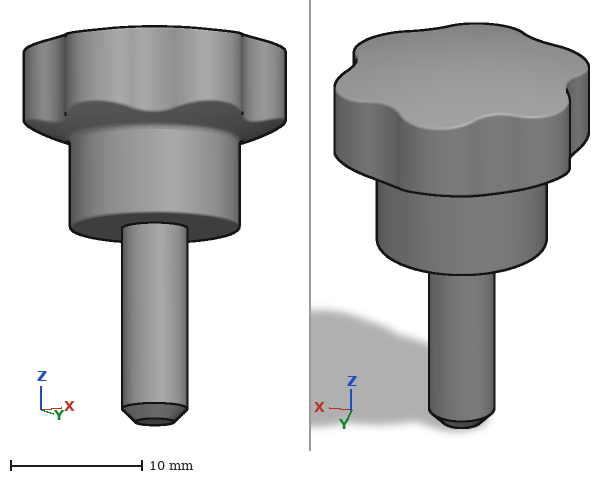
import cadquery as cq
import math

total_height = 30.0
collar_bottom = 15.0

lobe_count = 6
head_diameter = 20.0
lobe_radius = 3.5
valley_radius = lobe_radius
dome_drop = 1.2
underside_rim_height = 23.28
underside_neck_height = 21.9
underside_radius = 18.0
rim_fillet = 0.25
blank_margin = 0.3

collar_diameter = 13.0
neck_fillet = 0.5
collar_fillet = 0.2

stud_diameter = 5.0
stud_tip_chamfer = 1.02

head_radius = head_diameter / 2
collar_radius = collar_diameter / 2
lobe_center_radius = head_radius - lobe_radius
half_pitch = math.pi / lobe_count
valley_center_radius = lobe_center_radius * math.cos(half_pitch) + math.sqrt(
    (lobe_radius + valley_radius) ** 2 - (lobe_center_radius * math.sin(half_pitch)) ** 2
)


def polar(radius, angle):
    return (radius * math.cos(angle), radius * math.sin(angle))


def tangent_point(lobe_angle, valley_angle):
    """Tangent point between a lobe circle and a neighbouring valley circle."""
    lobe = cq.Vector(*polar(lobe_center_radius, lobe_angle))
    valley = cq.Vector(*polar(valley_center_radius, valley_angle))
    return (lobe + (valley - lobe) * (lobe_radius / (lobe_radius + valley_radius))).toTuple()[:2]


def lobed_prism():
    """Full-height prism with alternating lobe and valley arcs; one lobe points along +Y."""
    first_lobe = math.pi / 2
    outline = cq.Workplane("XY").moveTo(*tangent_point(first_lobe, first_lobe - half_pitch))
    for index in range(lobe_count):
        lobe_angle = first_lobe + 2 * half_pitch * index
        valley_angle = lobe_angle + half_pitch
        next_lobe_angle = valley_angle + half_pitch
        outline = outline.threePointArc(
            polar(head_radius, lobe_angle), tangent_point(lobe_angle, valley_angle)
        ).threePointArc(
            polar(valley_center_radius - valley_radius, valley_angle),
            tangent_point(next_lobe_angle, valley_angle),
        )
    return outline.close().extrude(total_height)


def domed_blank():
    """Turned blank with a domed top and a bowed underside, wider than the lobes."""
    dome_radius = (head_radius**2 + dome_drop**2) / (2 * dome_drop)
    blank_radius = head_radius + blank_margin

    def dome_height(radius):
        return total_height - dome_radius + math.sqrt(dome_radius**2 - radius**2)

    chord_r = head_radius - collar_radius
    chord_z = underside_rim_height - underside_neck_height
    chord = math.hypot(chord_r, chord_z)
    rise = math.sqrt(underside_radius**2 - (chord / 2) ** 2)
    center_r = (head_radius + collar_radius) / 2 - rise * chord_z / chord
    center_z = (underside_rim_height + underside_neck_height) / 2 + rise * chord_r / chord

    def underside_point(radius):
        return (radius, center_z - math.sqrt(underside_radius**2 - (radius - center_r) ** 2))

    return (
        cq.Workplane("XZ")
        .moveTo(0, underside_neck_height)
        .lineTo(collar_radius, underside_neck_height)
        .threePointArc(underside_point(head_radius), underside_point(blank_radius))
        .lineTo(blank_radius, dome_height(blank_radius))
        .threePointArc((blank_radius / 2, dome_height(blank_radius / 2)), (0, total_height))
        .close()
        .revolve(360, (0, 0), (0, 1))
    )


def lobed_head():
    head = domed_blank().intersect(lobed_prism())
    rim_edges = head.edges(cq.selectors.BoxSelector(
        (-head_diameter, -head_diameter, underside_neck_height + rim_fillet),
        (head_diameter, head_diameter, total_height),
    )).edges("not(|Z)")
    return rim_edges.fillet(rim_fillet)


def collar():
    height = underside_neck_height + neck_fillet - collar_bottom
    body = cq.Workplane("XY").workplane(offset=collar_bottom).circle(collar_radius).extrude(height)
    return body.faces("<Z").edges().fillet(collar_fillet)


def stud():
    body = cq.Workplane("XY").circle(stud_diameter / 2).extrude(collar_bottom + collar_fillet)
    return body.faces("<Z").edges().chamfer(stud_tip_chamfer)


def fillet_neck(body):
    neck_edge = cq.selectors.BoxSelector(
        (-neck_fillet, -neck_fillet, underside_neck_height - neck_fillet),
        (neck_fillet, neck_fillet, underside_neck_height + neck_fillet),
    )
    return body.edges("%CIRCLE").edges(neck_edge).fillet(neck_fillet)


result = fillet_neck(lobed_head().union(collar())).union(stud())